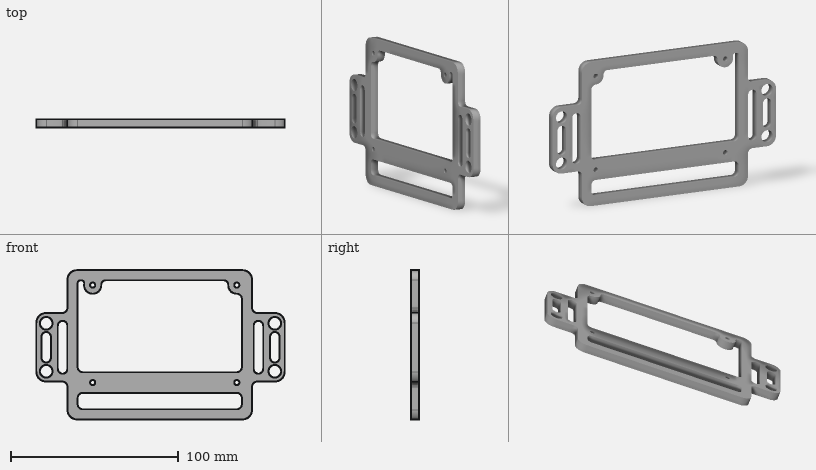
import cadquery as cq

LENGTH = 148.1
HEIGHT = 89.1
THICKNESS = 5.0
OUTER_RADIUS = 5.9
INNER_RADIUS = 3.0

FRAME_LEFT = -55.5
FRAME_RIGHT = 54.6
WALL = 6.2
OPENING_LEFT = FRAME_LEFT + WALL
OPENING_RIGHT = FRAME_RIGHT - WALL

WINDOW_TOP = HEIGHT / 2 - WALL
WINDOW_BOTTOM = -16.3
LOWER_TOP = -28.7
LOWER_BOTTOM = -HEIGHT / 2 + WALL

SCREW_LEFT = -40.4
SCREW_RIGHT = SCREW_LEFT + 85.9
SCREW_TOP = 35.5
SCREW_BOTTOM = SCREW_TOP - 58.0
SCREW_DIAMETER = 3.0
LUG_RADIUS = 5.2
LUG_FILLET = 2.5
NOTCH_RADIUS = 1.6

TAB_CENTER_Z = -1.5
TAB_HEIGHT = 41.0
TAB_HOLE_X = 68.1
TAB_HOLE_SPACING = 28.6
TAB_HOLE_DIAMETER = 7.4
SLOT_WIDTH = 5.5
OUTER_SLOT_LENGTH = 18.0
INNER_SLOT_X = 58.3
INNER_SLOT_LENGTH = 31.4


def block(left, right, bottom, top):
    """Full-thickness block spanning the given X and Z limits."""
    return (
        cq.Workplane("XZ")
        .center((left + right) / 2, (bottom + top) / 2)
        .rect(right - left, top - bottom)
        .extrude(THICKNESS / 2, both=True)
    )


def cylinders(points, diameter):
    """Full-thickness cylinders along Y at the given X, Z points."""
    return (
        cq.Workplane("XZ")
        .pushPoints(points)
        .circle(diameter / 2)
        .extrude(THICKNESS / 2, both=True)
    )


def slot(x, length):
    """Vertical round-ended slot centred on the tab height."""
    return (
        cq.Workplane("XZ")
        .center(x, TAB_CENTER_Z)
        .slot2D(length, SLOT_WIDTH, 90)
        .extrude(THICKNESS / 2, both=True)
    )


def round_edge(body, x, z, radius):
    """Fillet the through-thickness edge closest to the given X, Z point."""
    edge = cq.selectors.NearestToPointSelector((x, 0, z))
    return body.edges("|Y").edges(edge).fillet(radius)


def outline():
    """Rounded frame joined to a wide rounded bar whose ends form the tabs."""
    frame = block(FRAME_LEFT, FRAME_RIGHT, -HEIGHT / 2, HEIGHT / 2)
    tab_bottom = TAB_CENTER_Z - TAB_HEIGHT / 2
    tab_top = TAB_CENTER_Z + TAB_HEIGHT / 2
    tabs = block(-LENGTH / 2, LENGTH / 2, tab_bottom, tab_top)
    frame = frame.edges("|Y").fillet(OUTER_RADIUS)
    body = frame.union(tabs.edges("|Y").fillet(OUTER_RADIUS))
    for x in (FRAME_LEFT, FRAME_RIGHT):
        for z in (tab_bottom, tab_top):
            body = round_edge(body, x, z, INNER_RADIUS)
    return body


def window():
    """Large opening with room left for the two upper screw lugs."""
    opening = block(OPENING_LEFT, OPENING_RIGHT, WINDOW_BOTTOM, WINDOW_TOP)
    lug_points = [(x, SCREW_TOP) for x in (SCREW_LEFT, SCREW_RIGHT)]
    opening = opening.cut(cylinders(lug_points, 2 * LUG_RADIUS))
    opening = opening.cut(block(SCREW_RIGHT, OPENING_RIGHT, SCREW_TOP, WINDOW_TOP))
    for x in (OPENING_LEFT, OPENING_RIGHT):
        opening = round_edge(opening, x, WINDOW_BOTTOM, INNER_RADIUS)
    half_top = (LUG_RADIUS**2 - (WINDOW_TOP - SCREW_TOP) ** 2) ** 0.5
    half_side = (LUG_RADIUS**2 - (OPENING_RIGHT - SCREW_RIGHT) ** 2) ** 0.5
    opening = round_edge(opening, OPENING_LEFT, WINDOW_TOP, NOTCH_RADIUS)
    opening = round_edge(opening, SCREW_LEFT - half_top, WINDOW_TOP, NOTCH_RADIUS)
    opening = round_edge(opening, SCREW_LEFT + half_top, WINDOW_TOP, LUG_FILLET)
    opening = round_edge(opening, SCREW_RIGHT - half_top, WINDOW_TOP, LUG_FILLET)
    return round_edge(opening, OPENING_RIGHT, SCREW_TOP - half_side, INNER_RADIUS)


def lower_opening():
    """Long rounded opening below the window."""
    opening = block(OPENING_LEFT, OPENING_RIGHT, LOWER_BOTTOM, LOWER_TOP)
    return opening.edges("|Y").fillet(INNER_RADIUS)


screw_points = [(x, z) for x in (SCREW_LEFT, SCREW_RIGHT) for z in (SCREW_BOTTOM, SCREW_TOP)]

result = outline().cut(window()).cut(lower_opening())
result = result.cut(cylinders(screw_points, SCREW_DIAMETER))

for side in (-1, 1):
    hole_x = side * TAB_HOLE_X
    hole_points = [(hole_x, TAB_CENTER_Z + end * TAB_HOLE_SPACING / 2) for end in (-1, 1)]
    result = result.cut(cylinders(hole_points, TAB_HOLE_DIAMETER))
    result = result.cut(slot(hole_x, OUTER_SLOT_LENGTH))
    result = result.cut(slot(side * INNER_SLOT_X, INNER_SLOT_LENGTH))